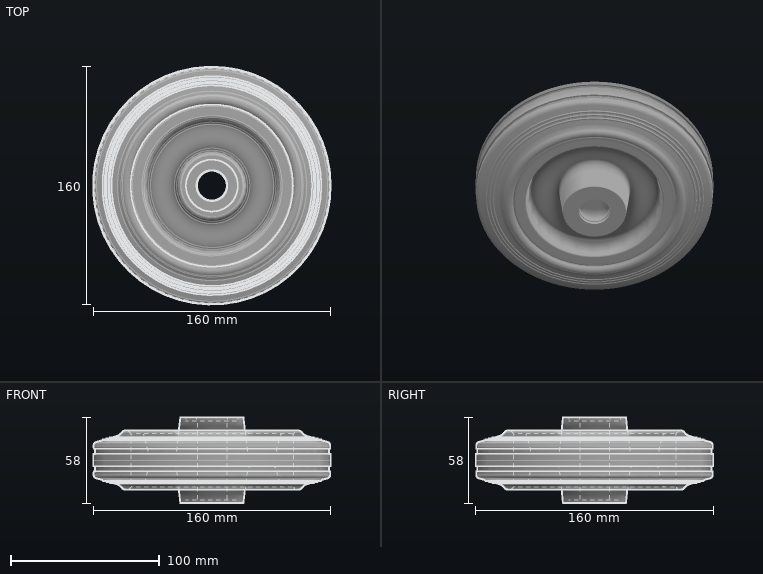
import cadquery as cq
import math


tyre_radius = 80.0
slope_angle = 16.0
slope_outer_radius = 77.6
slope_outer_z = 12.3
shoulder_radius = 79.7
shoulder_fillet = 2.7
tread_groove_inner_z = 4.2
tread_groove_outer_z = 7.5
tread_groove_depth = 1.1
rib_radii = (73.0, 70.5, 68.2)
rib_width = 1.5
rib_height = 0.5

seat_radius = 54.5
bead_round = 3.4
bead_top_z = 20.0
bead_flank_angle = 50.0
bead_root_fillet = 4.8

rim_half_width = 18.0
rim_outer_fillet = 1.0
rim_inner_fillet = 1.1
web_half_thickness = 4.2
web_fillet = 1.5
recess_radius = 46.2
recess_draft = 15.0
hub_half_length = 29.0
hub_end_radius = 21.3
hub_draft = 6.5
hub_end_fillet = 0.5
bore_radius = 10.0

washer_radius = 17.5
washer_bore_radius = 10.4
washer_thickness = 2.4
washer_starts = (hub_half_length - washer_thickness, -hub_half_length)


def tan_deg(angle):
    return math.tan(math.radians(angle))


def slope_z(radius):
    """Height of the straight sidewall slope at a given radius."""
    return slope_outer_z + (slope_outer_radius - radius) * tan_deg(slope_angle)


def disc(radius, z_start, height):
    """Solid disc about Z, from z_start up."""
    return cq.Workplane("XY").workplane(offset=z_start).circle(radius).extrude(height)


def fillet_circles(body, radius, z, fillet):
    """Round the circular edges of the given radius at heights +z and -z."""
    tolerance = 0.002

    def matches(edge):
        if edge.geomType() != "CIRCLE":
            return False
        same_radius = abs(edge.radius() - radius) < tolerance
        return same_radius and abs(abs(edge.Center().z) - z) < tolerance

    return body.edges().filter(matches).fillet(fillet)


def make_tyre():
    shoulder_z = slope_z(shoulder_radius)
    groove_floor_radius = tyre_radius - tread_groove_depth

    bead_center_radius = seat_radius + bead_round
    bead_center_z = bead_top_z - bead_round
    flank = math.radians(bead_flank_angle)
    flank_radius = bead_center_radius + bead_round * math.sin(flank)
    flank_z = bead_center_z + bead_round * math.cos(flank)

    root_run = (flank_z - slope_z(flank_radius)) / (tan_deg(bead_flank_angle) - tan_deg(slope_angle))
    root_radius = flank_radius + root_run
    root_z = slope_z(root_radius)

    outline = (
        cq.Workplane("XZ")
        .moveTo(seat_radius, 0)
        .lineTo(tyre_radius, 0)
        .lineTo(tyre_radius, tread_groove_inner_z)
        .lineTo(groove_floor_radius, tread_groove_inner_z)
        .lineTo(groove_floor_radius, tread_groove_outer_z)
        .lineTo(shoulder_radius, tread_groove_outer_z)
        .lineTo(shoulder_radius, shoulder_z)
    )
    slope = math.radians(slope_angle)
    half_width_run = rib_width / 2 * math.cos(slope)
    half_width_rise = rib_width / 2 * math.sin(slope)
    for rib_radius in rib_radii:
        rib_z = slope_z(rib_radius)
        rib_foot = (rib_radius + half_width_run, rib_z - half_width_rise)
        rib_crest = (rib_radius + rib_height * math.sin(slope), rib_z + rib_height * math.cos(slope))
        rib_end = (rib_radius - half_width_run, rib_z + half_width_rise)
        outline = outline.lineTo(*rib_foot).threePointArc(rib_crest, rib_end)
    outline = (
        outline.lineTo(root_radius, root_z)
        .lineTo(flank_radius, flank_z)
        .threePointArc((bead_center_radius, bead_top_z), (seat_radius, bead_center_z))
        .close()
    )

    upper_half = outline.revolve(360, (0, 0), (0, 1))
    upper_half = fillet_circles(upper_half, shoulder_radius, shoulder_z, shoulder_fillet)
    upper_half = fillet_circles(upper_half, root_radius, root_z, bead_root_fillet)

    return upper_half.union(upper_half.mirror("XY"), clean=False)


def make_rim():
    recess_floor_radius = recess_radius - (rim_half_width - web_half_thickness) * tan_deg(recess_draft)
    hub_base_radius = hub_end_radius + (hub_half_length - web_half_thickness) * tan_deg(hub_draft)

    upper_outline = [
        (seat_radius, rim_half_width),
        (recess_radius, rim_half_width),
        (recess_floor_radius, web_half_thickness),
        (hub_base_radius, web_half_thickness),
        (hub_end_radius, hub_half_length),
        (bore_radius, hub_half_length),
    ]
    lower_outline = [(radius, -z) for radius, z in reversed(upper_outline)]
    rim = cq.Workplane("XZ").polyline(upper_outline + lower_outline).close().revolve(360, (0, 0), (0, 1))

    rim = fillet_circles(rim, seat_radius, rim_half_width, rim_outer_fillet)
    rim = fillet_circles(rim, recess_radius, rim_half_width, rim_inner_fillet)
    rim = fillet_circles(rim, recess_floor_radius, web_half_thickness, web_fillet)
    rim = fillet_circles(rim, hub_base_radius, web_half_thickness, web_fillet)
    rim = fillet_circles(rim, hub_end_radius, hub_half_length, hub_end_fillet)

    for seat_start in washer_starts:
        rim = rim.cut(disc(washer_radius, seat_start, washer_thickness))
    return rim


def make_washer(z_start):
    blank = disc(washer_radius, z_start, washer_thickness)
    return blank.cut(disc(washer_bore_radius, z_start, washer_thickness))


tyre = make_tyre()
rim = make_rim()
washers = [make_washer(z_start) for z_start in washer_starts]

result = cq.Compound.makeCompound([tyre.val(), rim.val(), *[washer.val() for washer in washers]])